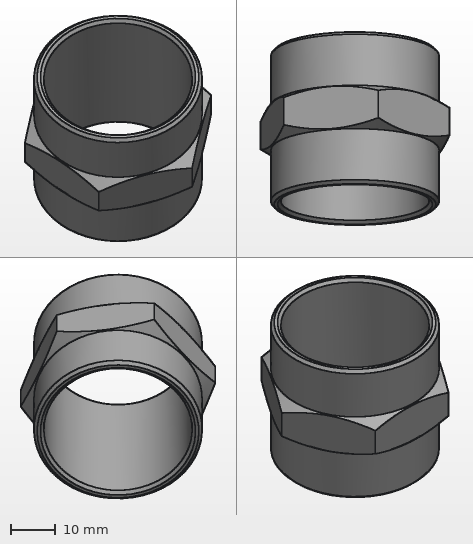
import cadquery as cq
import math

hex_across_corners = 43.9
hex_height = 10.0
total_height = 35.0
barrel_diameter = 37.5
bore_diameter = 33.05
outer_chamfer = 0.75
bore_chamfer = 0.75
hex_chamfer_angle = 30.0

barrel_radius = barrel_diameter / 2
corner_radius = hex_across_corners / 2
corner_drop = (corner_radius - barrel_radius) * math.tan(math.radians(hex_chamfer_angle))


def make_barrel():
    """Round sleeve with both outer rims chamfered."""
    barrel = cq.Workplane("XY").circle(barrel_radius).extrude(total_height / 2, both=True)
    return barrel.faces("<Z or >Z").edges().chamfer(outer_chamfer)


def make_hex_collar():
    """Central hexagon, its corners trimmed by cones that start at the barrel wall."""
    half_height = hex_height / 2
    hexagon = cq.Workplane("XY").polygon(6, hex_across_corners).extrude(half_height, both=True)
    cone_envelope = (
        cq.Workplane("XZ")
        .moveTo(0, -half_height)
        .lineTo(barrel_radius, -half_height)
        .lineTo(corner_radius, corner_drop - half_height)
        .lineTo(corner_radius, half_height - corner_drop)
        .lineTo(barrel_radius, half_height)
        .lineTo(0, half_height)
        .close()
        .revolve(360, (0, 0, 0), (0, 1, 0))
    )
    return hexagon.intersect(cone_envelope)


def make_bore():
    """Through bore that flares outward at both mouths."""
    bore_radius = bore_diameter / 2
    mouth_radius = bore_radius + bore_chamfer
    half_height = total_height / 2
    straight_half = half_height - bore_chamfer
    return (
        cq.Workplane("XZ")
        .moveTo(0, -half_height)
        .lineTo(mouth_radius, -half_height)
        .lineTo(bore_radius, -straight_half)
        .lineTo(bore_radius, straight_half)
        .lineTo(mouth_radius, half_height)
        .lineTo(0, half_height)
        .close()
        .revolve(360, (0, 0, 0), (0, 1, 0))
    )


result = make_barrel().union(make_hex_collar()).cut(make_bore())